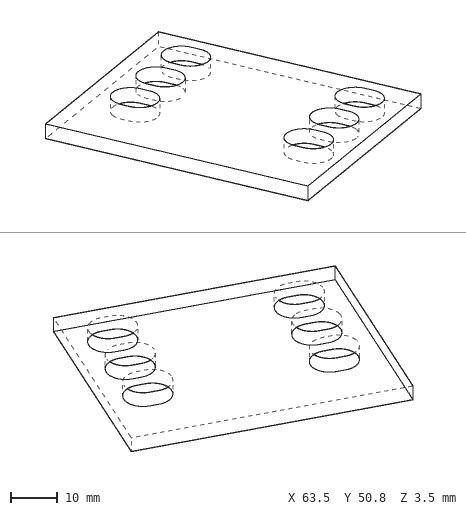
import cadquery as cq

plate_length = 63.5
plate_width = 50.8
plate_thickness = 3.5

slot_length = 10.8
slot_width = 8.65
slot_end_inset = 10.7
first_slot_inset = 7.6
slot_pitch = 11.4
slots_per_column = 3

column_x = plate_length / 2 - slot_end_inset
first_slot_y = plate_width / 2 - first_slot_inset
slot_centres = [
    (x, first_slot_y - row * slot_pitch)
    for x in (-column_x, column_x)
    for row in range(slots_per_column)
]

plate = cq.Workplane("XY").box(plate_length, plate_width, plate_thickness)

result = (
    plate.faces(">Z")
    .workplane()
    .pushPoints(slot_centres)
    .slot2D(slot_length, slot_width)
    .cutThruAll()
)